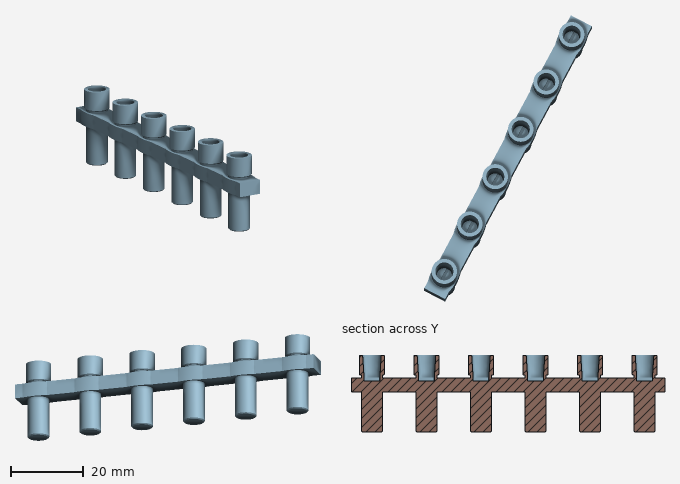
import cadquery as cq

SCREW_COUNT = 6
PITCH = 15.0
END_MARGIN = 5.7
BAR_LENGTH = (SCREW_COUNT - 1) * PITCH + 2 * END_MARGIN
BAR_WIDTH = 6.5
BAR_HEIGHT = 4.0

HEAD_DIAMETER = 7.0
SHANK_DIAMETER = 6.0
SHANK_LENGTH = 11.0
HEAD_RISE = 6.2
NECK_HEIGHT = 0.6
HEAD_CHAMFER = 0.3
TIP_CHAMFER = 0.3

BULGE_WIDTH = 7.42
BULGE_LENGTH = HEAD_DIAMETER

BORE_TOP_DIAMETER = 5.0
BORE_FLOOR_DIAMETER = 4.2
BORE_DEPTH = HEAD_RISE
SLOT_WIDTH = 0.8
SLOT_DEPTH = 0.8

HEAD_TOP_Z = BAR_HEIGHT + HEAD_RISE
SCREW_POSITIONS = [((i - (SCREW_COUNT - 1) / 2) * PITCH, 0, 0) for i in range(SCREW_COUNT)]


def cylinder(diameter, bottom_z, top_z):
    """Upright cylinder on the Z axis."""
    return (
        cq.Workplane("XY")
        .workplane(offset=bottom_z)
        .circle(diameter / 2)
        .extrude(top_z - bottom_z)
    )


def bar_swelling():
    """Length of bar beside one screw, bounded by an outward arc on each long side."""
    half_length = BULGE_LENGTH / 2
    half_width = BAR_WIDTH / 2
    half_bulge = BULGE_WIDTH / 2
    return (
        cq.Workplane("XY")
        .moveTo(-half_length, -half_width)
        .threePointArc((0, -half_bulge), (half_length, -half_width))
        .lineTo(half_length, half_width)
        .threePointArc((0, half_bulge), (-half_length, half_width))
        .close()
        .extrude(BAR_HEIGHT)
    )


def screw_body():
    """Shank with a chamfered tip, carrying a head chamfered on its underside."""
    shank = cylinder(SHANK_DIAMETER, -SHANK_LENGTH, HEAD_TOP_Z).faces("<Z").chamfer(TIP_CHAMFER)
    head = cylinder(HEAD_DIAMETER, BAR_HEIGHT + NECK_HEIGHT, HEAD_TOP_Z).faces("<Z").chamfer(HEAD_CHAMFER)
    return shank.union(head)


def screw_recess():
    """Material removed from the head: the tapered bore and the slot across its floor."""
    floor_z = HEAD_TOP_Z - BORE_DEPTH
    bore = (
        cq.Workplane("XZ")
        .moveTo(0, floor_z)
        .lineTo(BORE_FLOOR_DIAMETER / 2, floor_z)
        .lineTo(BORE_TOP_DIAMETER / 2, HEAD_TOP_Z)
        .lineTo(0, HEAD_TOP_Z)
        .close()
        .revolve(360, (0, 0, 0), (0, 1, 0))
    )
    slot = (
        cq.Workplane("XY")
        .workplane(offset=floor_z - SLOT_DEPTH)
        .rect(BORE_TOP_DIAMETER, SLOT_WIDTH)
        .extrude(SLOT_DEPTH)
        .intersect(cylinder(BORE_FLOOR_DIAMETER, floor_z - SLOT_DEPTH, floor_z))
    )
    return bore.union(slot)


screw = bar_swelling().union(screw_body())
recess = screw_recess()

result = cq.Workplane("XY").box(BAR_LENGTH, BAR_WIDTH, BAR_HEIGHT, centered=(True, True, False))
for position in SCREW_POSITIONS:
    result = result.union(screw.translate(position)).cut(recess.translate(position))